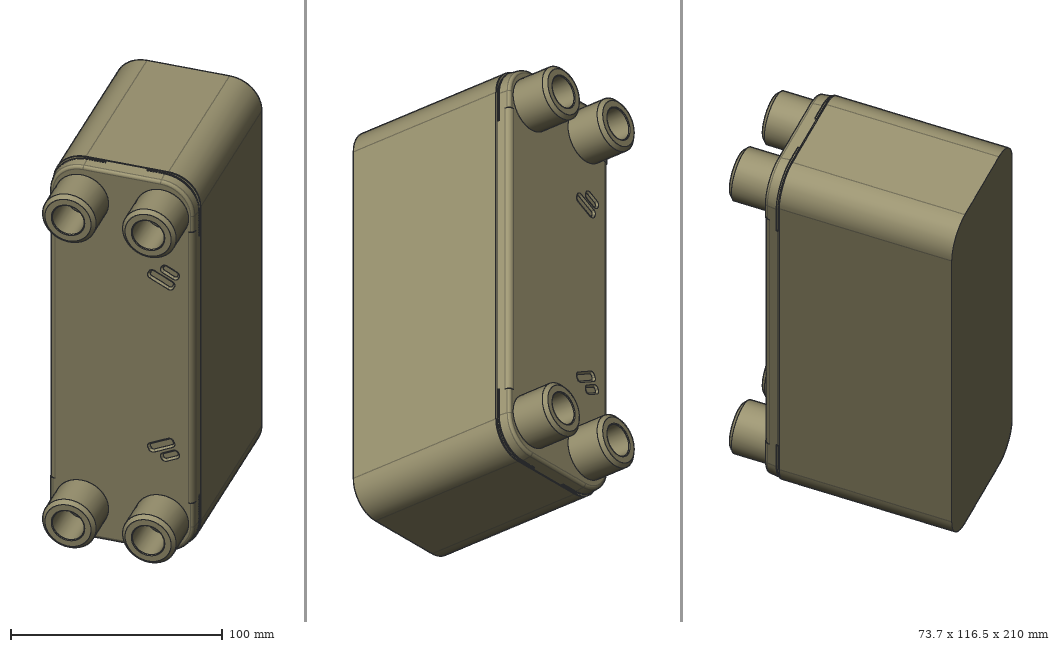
import cadquery as cq

WIDTH = 73.7
HEIGHT = 210.0
TOTAL_DEPTH = 116.5

PACK_DEPTH = 88.6
PACK_CORNER_RADIUS = 16.2

END_PLATE_THICKNESS = 0.6
END_PLATE_FRONT = PACK_DEPTH + END_PLATE_THICKNESS

COVER_FRONT = 96.5
COVER_THICKNESS = COVER_FRONT - END_PLATE_FRONT
COVER_CORNER_RADIUS = 17.5
COVER_DRAFT_ANGLE = 7.0
END_EDGE_RADIUS = 1.7
SIDE_EDGE_RADIUS = 3.0
SIDE_ROUNDING_LENGTH = 152.9
UPPER_SHIFT = 2.0

RELIEF_HEIGHT = 1.0
RELIEF_DEPTH = 0.6
RELIEF_LENGTH_X = 26.5
RELIEF_LENGTH_Z = 32.0

PORT_SPACING_X = 40.1
PORT_SPACING_Z = 172.2
PORT_DIAMETER = 26.9
PORT_BORE = 16.0
PORT_CHAMFER = 1.9
BORE_CHAMFER = 0.5
PORT_LENGTH = TOTAL_DEPTH - COVER_FRONT

STAMP_ANGLE = 26.0
STAMP_DEPTH = 1.0
STAMP_WALL_ANGLE = 45.0
STAMP_CORNER_RADIUS = 2.0
LONG_STAMP = (14.3, 5.2)
LONG_STAMP_CENTER = (19.7, 48.7)
SHORT_STAMP = (9.9, 4.8)
SHORT_STAMP_CENTER = (24.2, 53.8)


def front_plane(depth):
    """Sketch plane facing -Y, at the given distance in front of the pack's back."""
    return cq.Workplane("XZ").workplane(offset=depth)


def rounded_rectangle(length, width, radius):
    return cq.Sketch().rect(length, width).vertices().fillet(radius)


def make_plate_pack():
    outline = rounded_rectangle(WIDTH, HEIGHT, PACK_CORNER_RADIUS)
    return front_plane(0).placeSketch(outline).extrude(PACK_DEPTH)


def make_end_plate():
    outline = rounded_rectangle(WIDTH, HEIGHT, PACK_CORNER_RADIUS)
    return front_plane(PACK_DEPTH).placeSketch(outline).extrude(END_PLATE_THICKNESS)


def make_cover_blank(edge_radius):
    """Drafted cover with one rounding all around its front edge."""
    outline = rounded_rectangle(WIDTH, HEIGHT, COVER_CORNER_RADIUS)
    blank = front_plane(END_PLATE_FRONT).placeSketch(outline).extrude(COVER_THICKNESS, taper=COVER_DRAFT_ANGLE)
    return blank.faces("<Y").edges().fillet(edge_radius)


def make_corner_reliefs():
    """Shallow strips that wrap the four corners at the back of the cover."""
    outer = front_plane(END_PLATE_FRONT).rect(WIDTH, HEIGHT).extrude(RELIEF_HEIGHT)
    inner_outline = rounded_rectangle(
        WIDTH - 2 * RELIEF_DEPTH, HEIGHT - 2 * RELIEF_DEPTH, COVER_CORNER_RADIUS - RELIEF_DEPTH
    )
    inner = front_plane(END_PLATE_FRONT).placeSketch(inner_outline).extrude(RELIEF_HEIGHT)
    corner_zones = (
        front_plane(END_PLATE_FRONT)
        .rarray(WIDTH - RELIEF_LENGTH_X, HEIGHT - RELIEF_LENGTH_Z, 2, 2)
        .rect(RELIEF_LENGTH_X, RELIEF_LENGTH_Z)
        .extrude(RELIEF_HEIGHT)
    )
    return outer.cut(inner).intersect(corner_zones)


def make_stamp(size, center):
    """Slanted recess whose walls slope in from the cover face to its floor."""
    outline = rounded_rectangle(*size, STAMP_CORNER_RADIUS)
    return (
        front_plane(COVER_FRONT)
        .center(*center)
        .transformed(rotate=(0, 0, -STAMP_ANGLE))
        .placeSketch(outline)
        .extrude(-STAMP_DEPTH, taper=STAMP_WALL_ANGLE)
    )


def make_cover():
    middle_zone = (
        front_plane(END_PLATE_FRONT)
        .center(0, UPPER_SHIFT)
        .rect(WIDTH, SIDE_ROUNDING_LENGTH)
        .extrude(COVER_THICKNESS)
    )
    ends = make_cover_blank(END_EDGE_RADIUS).cut(middle_zone)
    middle = make_cover_blank(SIDE_EDGE_RADIUS).intersect(middle_zone)
    body = ends.union(middle).cut(make_corner_reliefs())
    for size, center in ((LONG_STAMP, LONG_STAMP_CENTER), (SHORT_STAMP, SHORT_STAMP_CENTER)):
        stamp = make_stamp(size, center)
        body = body.cut(stamp).cut(stamp.mirror("XY", (0, 0, UPPER_SHIFT)))
    return body.solids()


def make_port(x, z):
    """Tube on the cover face, chamfered at its outer rim and at the mouth of its bore."""
    tube = front_plane(COVER_FRONT).center(x, z).circle(PORT_DIAMETER / 2).extrude(PORT_LENGTH)
    tube = tube.faces("<Y").edges().chamfer(PORT_CHAMFER)
    bore = front_plane(COVER_FRONT).center(x, z).circle(PORT_BORE / 2).extrude(PORT_LENGTH)
    tube = tube.cut(bore)
    mouth = tube.faces("<Y").edges(cq.selectors.RadiusNthSelector(0))
    return mouth.chamfer(BORE_CHAMFER)


plate_pack = make_plate_pack()
end_plate = make_end_plate()
cover = make_cover()
ports = []
for x in (-PORT_SPACING_X / 2, PORT_SPACING_X / 2):
    for z in (-PORT_SPACING_Z / 2, PORT_SPACING_Z / 2):
        ports.append(make_port(x, z).val())

result = cq.Compound.makeCompound([plate_pack.val(), end_plate.val(), cover.val(), *ports])